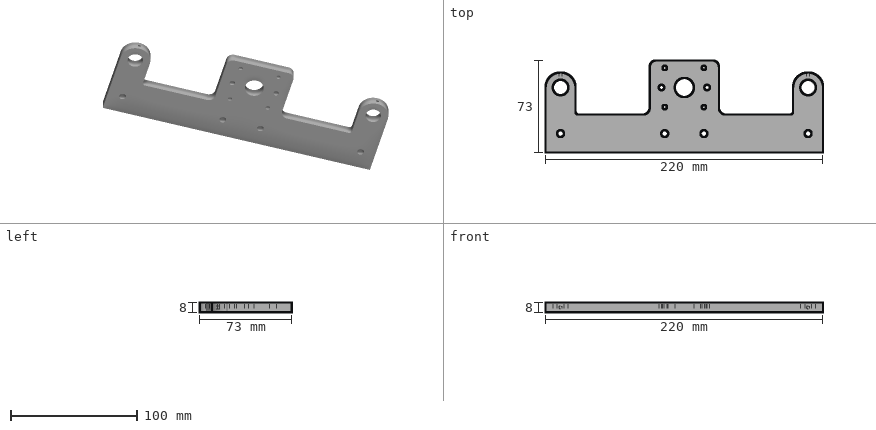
import cadquery as cq

length = 220.0
thickness = 8.0
bar_depth = 30.1
depth = 73.0

arm_width = 24.0
arm_radius = arm_width / 2
arm_center_x = length / 2 - arm_radius
arm_bore = 12.0
arm_root_radius = 2.0
set_screw_hole = 2.5

tab_width = 55.0
tab_corner_radius = 5.3
tab_root_radius = 5.3

bore_y = 51.5
center_bore = 15.0
side_hole = 4.2
side_hole_x = 18.0
pattern_hole = 3.3
pattern_spacing = 31.0
bar_hole = 5.3
bar_hole_y = 15.0


def block(width, height, center_x):
    """Full-thickness block rising from the front edge."""
    return cq.Workplane("XY").box(width, height, thickness, centered=(True, False, False)).translate(
        (center_x, 0, 0)
    )


def drill(body, points, diameter):
    """Cut vertical through holes at the given points."""
    cutter = cq.Workplane("XY").pushPoints(points).circle(diameter / 2).extrude(thickness)
    return body.cut(cutter)


def fillet_corners(body, x, y, radius):
    """Round the vertical edges at (-x, y) and (x, y)."""
    for corner_x in (-x, x):
        edge = cq.selectors.NearestToPointSelector((corner_x, y, thickness / 2))
        body = body.edges("|Z").edges(edge).fillet(radius)
    return body


tab = block(tab_width, depth, 0).edges("|Z and >Y").fillet(tab_corner_radius)
plate = block(length, bar_depth, 0).union(tab)
arm_centers = [(-arm_center_x, bore_y), (arm_center_x, bore_y)]
for center_x, center_y in arm_centers:
    arm_end = cq.Workplane("XY").center(center_x, center_y).circle(arm_radius).extrude(thickness)
    plate = plate.union(block(arm_width, center_y, center_x)).union(arm_end)
plate = plate.clean()

plate = fillet_corners(plate, tab_width / 2, bar_depth, tab_root_radius)
plate = fillet_corners(plate, length / 2 - arm_width, bar_depth, arm_root_radius)

plate = drill(plate, arm_centers, arm_bore)
plate = drill(plate, [(0, bore_y)], center_bore)
plate = drill(plate, [(-side_hole_x, bore_y), (side_hole_x, bore_y)], side_hole)
half_spacing = pattern_spacing / 2
pattern_points = [
    (x, bore_y + y)
    for x in (-half_spacing, half_spacing)
    for y in (-half_spacing, half_spacing)
]
plate = drill(plate, pattern_points, pattern_hole)

bar_hole_xs = (-arm_center_x, -half_spacing, half_spacing, arm_center_x)
plate = drill(plate, [(x, bar_hole_y) for x in bar_hole_xs], bar_hole)

for center_x, center_y in arm_centers:
    axis_start = cq.Vector(center_x, center_y, thickness / 2)
    screw = cq.Solid.makeCylinder(set_screw_hole / 2, 2 * arm_radius, axis_start, cq.Vector(0, 1, 0))
    plate = plate.cut(cq.Workplane(obj=screw))

result = plate